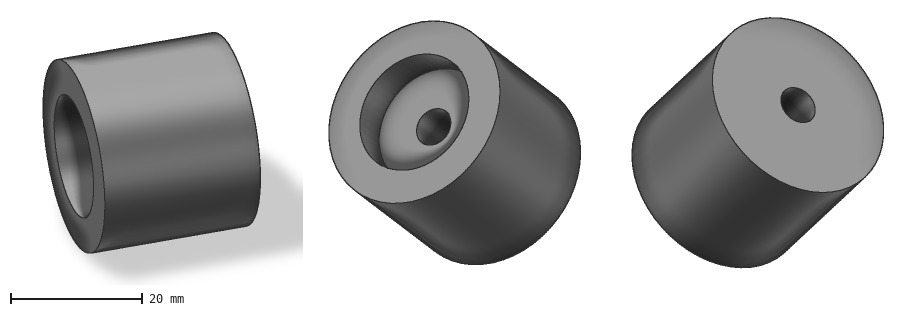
import cadquery as cq

outer_diameter = 30.0
length = 25.0
recess_diameter = 19.1
recess_depth = 6.0
bore_diameter = 6.0

front_plane = cq.Workplane("XZ")


def cylinder_from_front(diameter, depth):
    """Solid cylinder reaching back from the front face along +Y."""
    return front_plane.circle(diameter / 2).extrude(-depth)


body = cylinder_from_front(outer_diameter, length)
recess = cylinder_from_front(recess_diameter, recess_depth)
bore = cylinder_from_front(bore_diameter, length)

result = body.cut(recess).cut(bore)